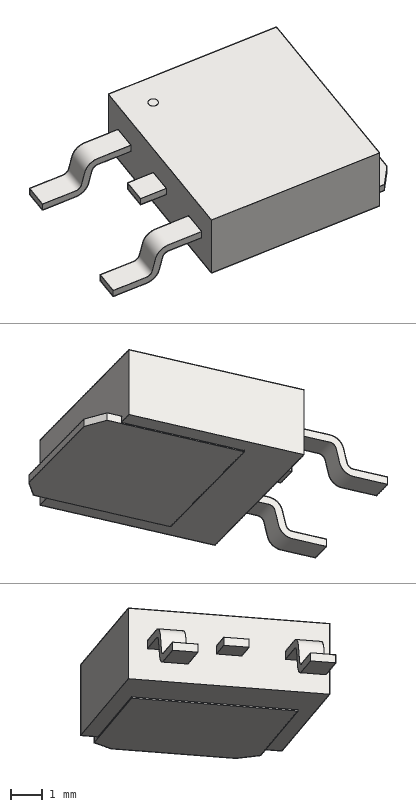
import cadquery as cq
import math


housing_width = 6.65
housing_depth = 6.2
housing_height = 2.37

tab_width = 5.5
tab_thickness = 0.27
tab_standoff = 0.04
tab_overhang = 0.99
tab_embedded_length = 4.36
tab_corner_x = 0.69
tab_corner_y = 0.49

overall_length = 10.46
lead_reach = overall_length - housing_depth - tab_overhang
lead_width = 0.84
lead_thickness = 0.27
lead_offset = 2.28
lead_top = 1.33
lead_shoulder = 1.21
bend_angle = math.radians(76)
bend_inner_radius = 0.23
bend_outer_radius = bend_inner_radius + lead_thickness
stub_length = 0.95

marker_diameter = 0.33
marker_depth = 0.04
marker_front_distance = 1.06


def make_tab():
    """Flat plate with its two rear corners cut off."""
    half_width = tab_width / 2
    front = housing_depth - tab_embedded_length
    rear = housing_depth + tab_overhang
    outline = [
        (-half_width, front),
        (half_width, front),
        (half_width, rear - tab_corner_y),
        (half_width - tab_corner_x, rear),
        (-half_width + tab_corner_x, rear),
        (-half_width, rear - tab_corner_y),
    ]
    return (
        cq.Workplane("XY")
        .workplane(offset=-tab_standoff)
        .polyline(outline)
        .close()
        .extrude(tab_thickness)
    )


def make_marker():
    """Thin disc in line with the left lead."""
    return (
        cq.Workplane("XY")
        .workplane(offset=housing_height - marker_depth)
        .center(-lead_offset, marker_front_distance)
        .circle(marker_diameter / 2)
        .extrude(marker_depth)
    )


def make_housing(tab, marker):
    """Block with recesses matching the tab and the marker."""
    block = cq.Workplane("XY").box(
        housing_width, housing_depth, housing_height, centered=(True, False, False)
    )
    return block.cut(tab).cut(marker)


def make_lead(x_center):
    """Gull-wing strip: straight shoulder, two equal and opposite bends, flat foot."""
    radius_sum = bend_inner_radius + bend_outer_radius
    drop = lead_top - lead_thickness
    leg_length = (drop - radius_sum * (1 - math.cos(bend_angle))) / math.sin(bend_angle)
    bend_run = radius_sum * math.sin(bend_angle) + leg_length * math.cos(bend_angle)

    shoulder_y = -lead_shoulder
    foot_y = shoulder_y - bend_run
    upper_center_z = lead_top - bend_outer_radius
    lower_center_z = bend_outer_radius

    def upper_bend(radius, angle):
        return (shoulder_y - radius * math.sin(angle), upper_center_z + radius * math.cos(angle))

    def lower_bend(radius, angle):
        return (foot_y + radius * math.sin(angle), lower_center_z - radius * math.cos(angle))

    half_angle = bend_angle / 2
    profile = (
        cq.Workplane("YZ")
        .workplane(offset=x_center - lead_width / 2)
        .moveTo(0, lead_top)
        .lineTo(*upper_bend(bend_outer_radius, 0))
        .threePointArc(upper_bend(bend_outer_radius, half_angle), upper_bend(bend_outer_radius, bend_angle))
        .lineTo(*lower_bend(bend_inner_radius, bend_angle))
        .threePointArc(lower_bend(bend_inner_radius, half_angle), lower_bend(bend_inner_radius, 0))
        .lineTo(-lead_reach, lead_thickness)
        .lineTo(-lead_reach, 0)
        .lineTo(*lower_bend(bend_outer_radius, 0))
        .threePointArc(lower_bend(bend_outer_radius, half_angle), lower_bend(bend_outer_radius, bend_angle))
        .lineTo(*upper_bend(bend_inner_radius, bend_angle))
        .threePointArc(upper_bend(bend_inner_radius, half_angle), upper_bend(bend_inner_radius, 0))
        .lineTo(0, lead_top - lead_thickness)
        .close()
    )
    return profile.extrude(lead_width)


def make_stub():
    """Short cropped middle lead, level with the shoulders of the outer leads."""
    return cq.Workplane("XY").box(
        lead_width, stub_length, lead_thickness, centered=(True, False, False)
    ).translate((0, -stub_length, lead_top - lead_thickness))


tab = make_tab()
marker = make_marker()
housing = make_housing(tab, marker)
leads = [make_lead(x_center) for x_center in (-lead_offset, lead_offset)]
stub = make_stub()

result = cq.Compound.makeCompound(
    [housing.val(), tab.val(), marker.val(), stub.val(), *[lead.val() for lead in leads]]
)